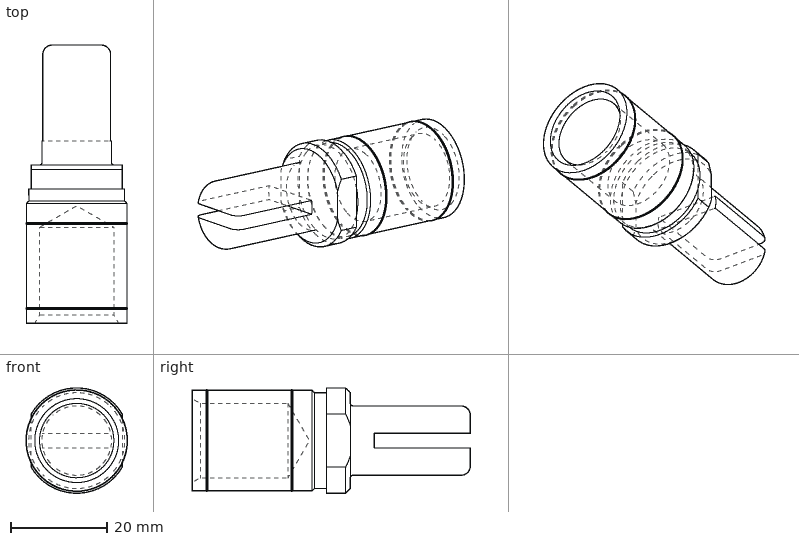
import cadquery as cq
import math

total_length = 58.0
collar_start = 28.0
collar_length = 5.0
collar_end = collar_start + collar_length
neck_start = 25.5

socket_diameter = 21.0
neck_diameter = 20.0
collar_diameter = 22.0
pin_diameter = 14.5
bore_diameter = 15.5
bore_mouth_diameter = 17.5

collar_chamfer = 1.0
pin_tip_fillet = 2.0
pin_root_fillet = 0.5

width_across_flats = 19.0
slot_width = 3.0
slot_depth = 20.0

ring_height = 0.1
ring_base_width = 0.4
ring_crest_width = 0.1
ring_centres = [3.1, 20.8]

bore_depth = 20.0
bore_mouth_half_angle = 30.0
drill_point_angle = 120.0


def revolve_about_y(outline):
    """Revolve a closed (radius, axial position) outline about the Y axis."""
    return outline.close().revolve(360, (0, 0, 0), (0, 1, 0))


def make_collar():
    """Chamfered collar with two flats facing +X and -X."""
    radius = collar_diameter / 2
    outline = (
        cq.Workplane("XY")
        .moveTo(0, collar_start)
        .lineTo(radius, collar_start)
        .lineTo(radius, collar_end - collar_chamfer)
        .lineTo(radius - collar_chamfer, collar_end)
        .lineTo(0, collar_end)
    )
    flats = cq.Workplane("XY").box(width_across_flats, 2 * total_length, 2 * collar_diameter)
    return revolve_about_y(outline).intersect(flats)


def make_socket():
    """Socket barrel with a shoulder tapering down to the neck below the collar."""
    barrel_radius = socket_diameter / 2
    neck_radius = neck_diameter / 2
    shoulder_length = barrel_radius - neck_radius
    outline = (
        cq.Workplane("XY")
        .lineTo(barrel_radius, 0)
        .lineTo(barrel_radius, neck_start - shoulder_length)
        .lineTo(neck_radius, neck_start)
        .lineTo(neck_radius, collar_start)
        .lineTo(0, collar_start)
    )
    return revolve_about_y(outline)


def make_pin():
    """Pin with a rounded tip and a concave fillet at its root on the collar."""
    radius = pin_diameter / 2
    outline = (
        cq.Workplane("XY")
        .moveTo(0, collar_end)
        .lineTo(radius + pin_root_fillet, collar_end)
        .radiusArc((radius, collar_end + pin_root_fillet), pin_root_fillet)
        .lineTo(radius, total_length - pin_tip_fillet)
        .radiusArc((radius - pin_tip_fillet, total_length), -pin_tip_fillet)
        .lineTo(0, total_length)
    )
    return revolve_about_y(outline)


def make_slot():
    """Slot splitting the pin from its tip, open on both X sides."""
    slot = cq.Workplane("XY").box(2 * pin_diameter, slot_depth, slot_width)
    return slot.translate((0, total_length - slot_depth / 2, 0))


def make_ring(centre):
    """Raised ring centred at an axial position, seated on the socket barrel."""
    base_radius = socket_diameter / 2
    crest_radius = base_radius + ring_height
    outline = (
        cq.Workplane("XY")
        .moveTo(0, centre - ring_base_width / 2)
        .lineTo(base_radius, centre - ring_base_width / 2)
        .lineTo(crest_radius, centre - ring_crest_width / 2)
        .lineTo(crest_radius, centre + ring_crest_width / 2)
        .lineTo(base_radius, centre + ring_base_width / 2)
        .lineTo(0, centre + ring_base_width / 2)
    )
    return revolve_about_y(outline)


def make_bore():
    """Blind bore with a conical lead-in and a drill-point bottom."""
    radius = bore_diameter / 2
    mouth_radius = bore_mouth_diameter / 2
    mouth_length = (mouth_radius - radius) / math.tan(math.radians(bore_mouth_half_angle))
    point_length = radius / math.tan(math.radians(drill_point_angle / 2))
    outline = (
        cq.Workplane("XY")
        .lineTo(mouth_radius, 0)
        .lineTo(radius, mouth_length)
        .lineTo(radius, bore_depth)
        .lineTo(0, bore_depth + point_length)
    )
    return revolve_about_y(outline)


body = make_socket().union(make_collar()).union(make_pin())
for ring_centre in ring_centres:
    body = body.union(make_ring(ring_centre))

result = body.cut(make_slot()).cut(make_bore())